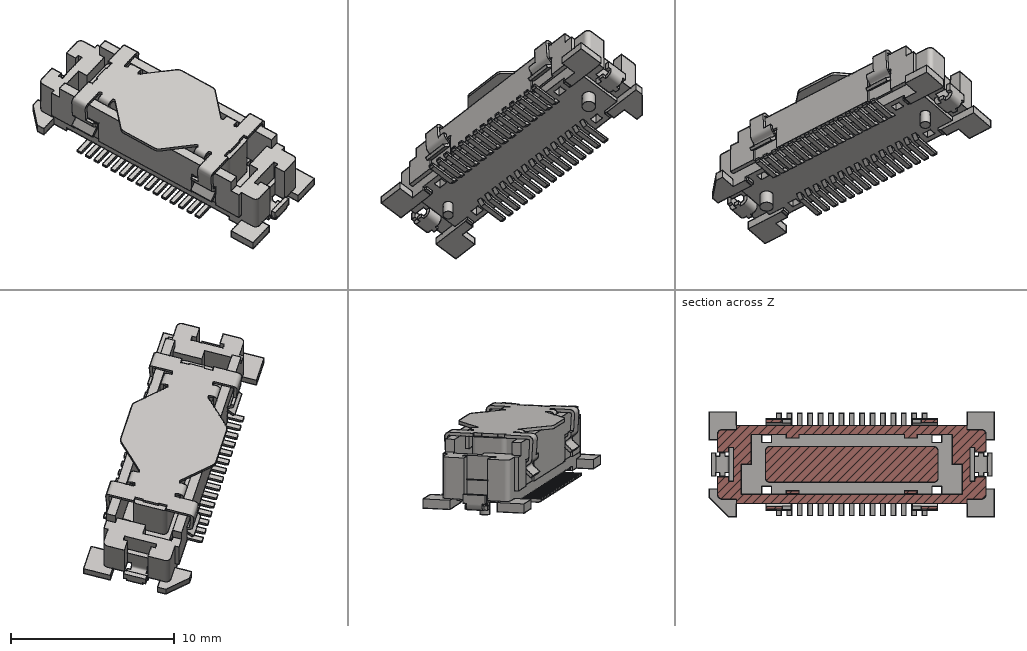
import math

import cadquery as cq

PAD_BOTTOM = 0.05
PAD_TOP = 0.63
BODY_BOTTOM = 0.32
SIDE_WALL_BOTTOM = 1.1
END_TOP = 3.2
HOUSING_TOP = 4.0
COVER_TOP = 4.2

END_HALF_X = 8.2
END_HALF_Y = 2.13
END_CORNER_RADIUS = 0.3
MIDDLE_HALF_X = 7.05
WALL_HALF_Y = 2.39
WALL_INNER_Y = 1.82
TALL_WALL_HALF_X = 6.47

CAVITY_SHORT_X = 6.12
CAVITY_LONG_X = 6.74
CAVITY_FLOOR = 1.1
TONGUE_HALF_X = 5.28
TONGUE_HALF_Y = 1.1
TONGUE_CORNER_RADIUS = 0.3
FLOOR_HOLE_X = (4.9, 5.48)
FLOOR_HOLE_Y = (1.34, 1.8)

POCKET_X = (3.5, 5.29)
POCKET_TOP = 2.74
POCKET_BACK_Y = 2.25

SLOT_HALF_Y = 0.75

PAD_OUTER_X = 8.7
PAD_OUTER_Y = 3.2
PAD_INNER_Y = 1.5
PAD_CHAMFER = 1.17
FOOT_INNER_X = 6.13
FOOT_STEP_X = 5.96
FOOT_STEP_BOTTOM = 0.1
FOOT_STEP_HALF_Y = 2.0
PEG_RADIUS = 0.41
SMALL_PEG_RADIUS = 0.31
PEG_X = 6.12
PEG_BOTTOM = -0.6

CLIP_THICKNESS = 0.27
CLIP_OUTER_X = 8.57
CLIP_INNER_X = 7.23
CLIP_BEND_RADIUS = 0.4
CLIP_OUTER_TOP = 1.0
CLIP_BLADE_TOP = 1.73
CLIP_BLADE_HALF_Y = 1.02
CLIP_WIDE_HALF_Y = 0.71
CLIP_NECK_HALF_Y = 0.5
CLIP_FLAT_X = (7.73, 8.06)
CLIP_NECK_TOP = 0.45

LEADS_PER_SIDE = 15
LEAD_PITCH = 0.635
LEAD_WIDTH = 0.3
LEAD_THICKNESS = 0.22
LEAD_TIP_Y = 3.13
LEAD_TIP_CHAMFER_HEIGHT = 0.07
LEAD_TIP_CHAMFER_LENGTH = 0.14
LEAD_BEND_Y = 1.32
LEAD_RISE = 0.4

SHEET = COVER_TOP - HOUSING_TOP
COVER_HALF_X = 5.24
COVER_NECK_HALF_Y = 1.28
OCTAGON_HALF_Y = 3.02
OCTAGON_CORNER_X = 1.34
OCTAGON_CORNER_RADIUS = 0.45
HOOK_INNER_X = 4.23
HOOK_FOOT_INNER_X = 3.7
HOOK_FOOT_TOP = 2.89
HOOK_OUTER_Y = 2.82
HOOK_KNEE = (2.72, 2.58)
HOOK_APEX = (2.27, 2.24)
HOOK_TIP = (2.81, 1.76)
HOOK_BEND_RADIUS = 0.3
HOOK_KNEE_RADIUS = 0.35
HOOK_APEX_RADIUS = 0.16
TAB_X = (3.22, 4.0)
TAB_OUTER_Y = 1.8
TAB_BOTTOM = 3.0
RELIEF_CORNER_RADIUS = 0.08
EDGE_MARGIN = 0.01
NOTCH_HALF_Y = 1.01
NOTCH_X = 4.97
NOTCH_STEP_HALF_Y = 0.5
NOTCH_STEP_X = 5.03


def box(x, y, z):
    """Axis-aligned box from (low, high) pairs."""
    sizes = [high - low for low, high in (x, y, z)]
    return cq.Workplane("XY").box(*sizes, centered=False).translate((x[0], y[0], z[0]))


def centred_box(half_x, half_y, z):
    return box((-half_x, half_x), (-half_y, half_y), z)


def both_ends(shape):
    """The shape and its mirror image in X."""
    return shape.union(shape.mirror("YZ"))


def both_sides(shape):
    """The shape and its mirror image in Y."""
    return shape.union(shape.mirror("XZ"))


def extrude_along_x(y_z_points, x):
    return cq.Workplane("YZ").polyline(y_z_points).close().extrude(x[1] - x[0]).translate((x[0], 0, 0))


def strip_outline(points, thickness):
    """Closed outline of a bent strip; the thickness lies to the right of the path."""
    headings = []
    for start, end in zip(points, points[1:]):
        headings.append(math.atan2(end[1] - start[1], end[0] - start[0]))
    inner = []
    for index, (u, v) in enumerate(points):
        before = headings[max(index - 1, 0)]
        after = headings[min(index, len(headings) - 1)]
        reach = thickness / math.cos((after - before) / 2)
        normal = (before + after) / 2 - math.pi / 2
        inner.append((u + reach * math.cos(normal), v + reach * math.sin(normal)))
    return points + inner[::-1]


def housing():
    ends = centred_box(END_HALF_X, END_HALF_Y, (PAD_TOP, END_TOP)).edges("|Z").fillet(END_CORNER_RADIUS)
    middle = centred_box(MIDDLE_HALF_X, END_HALF_Y, (BODY_BOTTOM, END_TOP))
    walls = centred_box(MIDDLE_HALF_X, WALL_HALF_Y, (SIDE_WALL_BOTTOM, END_TOP))
    tall_walls = centred_box(TALL_WALL_HALF_X, WALL_HALF_Y, (END_TOP, HOUSING_TOP))
    between_walls = centred_box(TALL_WALL_HALF_X, WALL_INNER_Y, (END_TOP, HOUSING_TOP))
    body = ends.union(middle).union(walls).union(tall_walls.cut(between_walls))

    cavity_depth = (CAVITY_FLOOR, END_TOP)
    front_cavity = box((-CAVITY_LONG_X, CAVITY_LONG_X), (-WALL_INNER_Y, 0), cavity_depth)
    back_cavity = box((-CAVITY_SHORT_X, CAVITY_SHORT_X), (0, WALL_INNER_Y), cavity_depth)
    tongue = centred_box(TONGUE_HALF_X, TONGUE_HALF_Y, (CAVITY_FLOOR, HOUSING_TOP))
    tongue = tongue.edges("|Z").fillet(TONGUE_CORNER_RADIUS)
    body = body.cut(front_cavity).cut(back_cavity).union(tongue)

    floor_hole = box(FLOOR_HOLE_X, FLOOR_HOLE_Y, (BODY_BOTTOM, CAVITY_FLOOR))
    pocket = box(POCKET_X, (POCKET_BACK_Y, WALL_HALF_Y), (SIDE_WALL_BOTTOM, POCKET_TOP))
    slot_mouth = box((CLIP_INNER_X, END_HALF_X), (-SLOT_HALF_Y, SLOT_HALF_Y), (BODY_BOTTOM, END_TOP))
    blade_slot = box(
        (CLIP_INNER_X, CLIP_INNER_X + CLIP_THICKNESS),
        (-CLIP_BLADE_HALF_Y, CLIP_BLADE_HALF_Y),
        (PAD_TOP, END_TOP),
    )
    openings = both_sides(floor_hole.union(pocket)).union(slot_mouth).union(blade_slot)
    return body.cut(both_ends(openings))


def pads_and_feet():
    pad_height = (PAD_BOTTOM, PAD_TOP)
    pad = box((MIDDLE_HALF_X, PAD_OUTER_X), (PAD_INNER_Y, PAD_OUTER_Y), pad_height)
    foot = box((FOOT_INNER_X, MIDDLE_HALF_X), (PAD_INNER_Y, END_HALF_Y), pad_height)
    step = box((FOOT_STEP_X, FOOT_INNER_X), (PAD_INNER_Y, FOOT_STEP_HALF_Y), (FOOT_STEP_BOTTOM, PAD_TOP))
    corners = both_ends(both_sides(pad.union(foot).union(step)))
    marked_corner = (
        cq.Workplane("XY")
        .polyline(
            [
                (-PAD_OUTER_X, -PAD_OUTER_Y),
                (-PAD_OUTER_X + PAD_CHAMFER, -PAD_OUTER_Y),
                (-PAD_OUTER_X, -PAD_OUTER_Y + PAD_CHAMFER),
            ]
        )
        .close()
        .extrude(PAD_TOP)
    )
    return corners.cut(marked_corner)


def pegs():
    pair = cq.Workplane("XY")
    for x, radius in ((-PEG_X, PEG_RADIUS), (PEG_X, SMALL_PEG_RADIUS)):
        peg = cq.Workplane("XY", origin=(x, 0, PEG_BOTTOM)).circle(radius)
        pair = pair.union(peg.extrude(PAD_TOP - PEG_BOTTOM))
    return pair


def clips():
    blade_outer_x = CLIP_INNER_X + CLIP_THICKNESS
    flange_inner_x = CLIP_OUTER_X - CLIP_THICKNESS
    blade = box(
        (CLIP_INNER_X, blade_outer_x), (-CLIP_BLADE_HALF_Y, CLIP_BLADE_HALF_Y), (PAD_TOP, CLIP_BLADE_TOP)
    )
    neck = box((CLIP_INNER_X, CLIP_OUTER_X), (-CLIP_NECK_HALF_Y, CLIP_NECK_HALF_Y), (0, PAD_TOP))
    neck = neck.edges("|Y and <Z").fillet(CLIP_BEND_RADIUS)
    gap = box(
        (blade_outer_x, flange_inner_x), (-CLIP_NECK_HALF_Y, CLIP_NECK_HALF_Y), (CLIP_THICKNESS, PAD_TOP)
    )
    gap = gap.edges("|Y and <Z").fillet(CLIP_BEND_RADIUS - CLIP_THICKNESS)
    wide_y = (-CLIP_WIDE_HALF_Y, CLIP_WIDE_HALF_Y)
    flat = box(CLIP_FLAT_X, wide_y, (0, CLIP_THICKNESS))
    flange = box((flange_inner_x, CLIP_OUTER_X), wide_y, (CLIP_NECK_TOP, CLIP_OUTER_TOP))
    return both_ends(neck.cut(gap).union(blade).union(flat).union(flange))


def leads():
    path = [
        (LEAD_BEND_Y - LEAD_RISE, LEAD_RISE),
        (LEAD_BEND_Y, 0),
        (LEAD_TIP_Y, 0),
    ]
    lead = extrude_along_x(strip_outline(path[::-1], LEAD_THICKNESS), (-LEAD_WIDTH / 2, LEAD_WIDTH / 2))
    tip_cut = [
        (LEAD_TIP_Y, 0),
        (LEAD_TIP_Y, LEAD_TIP_CHAMFER_HEIGHT),
        (LEAD_TIP_Y - LEAD_TIP_CHAMFER_LENGTH, 0),
    ]
    lead = lead.cut(extrude_along_x(tip_cut, (-LEAD_WIDTH / 2, LEAD_WIDTH / 2)))
    pair = both_sides(lead)
    row = cq.Workplane("XY")
    for index in range(LEADS_PER_SIDE):
        x = (index - (LEADS_PER_SIDE - 1) / 2) * LEAD_PITCH
        row = row.union(pair.translate((x, 0, 0)))
    return row


def octagon():
    """Wide centre of the cover, with sides at 45 degrees that run in to the neck."""
    waist_x = OCTAGON_CORNER_X + OCTAGON_HALF_Y
    outline = [
        (OCTAGON_CORNER_X, OCTAGON_HALF_Y),
        (waist_x, 0),
        (OCTAGON_CORNER_X, -OCTAGON_HALF_Y),
        (-OCTAGON_CORNER_X, -OCTAGON_HALF_Y),
        (-waist_x, 0),
        (-OCTAGON_CORNER_X, OCTAGON_HALF_Y),
    ]
    plate = cq.Workplane("XY", origin=(0, 0, HOUSING_TOP)).polyline(outline).close().extrude(SHEET)
    plate = plate.edges("|Z and (>Y or <Y)").fillet(OCTAGON_CORNER_RADIUS)
    return plate.intersect(centred_box(TAB_X[0], OCTAGON_HALF_Y, (HOUSING_TOP, COVER_TOP)))


def hook():
    """Cover arm bent down outside the housing and folded into its wall pocket."""
    path = [(0, COVER_TOP), (HOOK_OUTER_Y, COVER_TOP), HOOK_KNEE, HOOK_APEX, HOOK_TIP]
    outline = strip_outline(path, SHEET)
    foot_x = (HOOK_FOOT_INNER_X, COVER_HALF_X)
    arm = extrude_along_x(outline, foot_x)
    bends = [
        (outline[1], HOOK_BEND_RADIUS),
        (outline[2], HOOK_KNEE_RADIUS),
        (outline[3], HOOK_APEX_RADIUS),
        (outline[-2], HOOK_BEND_RADIUS - SHEET),
        (outline[-3], HOOK_KNEE_RADIUS - SHEET),
        (outline[-4], HOOK_APEX_RADIUS + SHEET),
    ]
    for (y, z), radius in bends:
        corner = cq.selectors.NearestToPointSelector((sum(foot_x) / 2, y, z))
        arm = arm.edges("|X").edges(corner).fillet(radius)
    above_foot = box((HOOK_FOOT_INNER_X, HOOK_INNER_X), (0, PAD_OUTER_Y), (HOOK_FOOT_TOP, COVER_TOP))
    return arm.cut(above_foot)


def inner_tab():
    """Cover tab bent down against the inner face of the side wall."""
    path = [(0, COVER_TOP), (TAB_OUTER_Y, COVER_TOP), (TAB_OUTER_Y, TAB_BOTTOM)]
    tab = extrude_along_x(strip_outline(path, SHEET), TAB_X)
    return tab.edges("|X and >Z and >Y").fillet(HOOK_BEND_RADIUS)


def cover():
    sheet_height = (HOUSING_TOP, COVER_TOP)
    neck = centred_box(COVER_HALF_X, COVER_NECK_HALF_Y, sheet_height)
    arms = both_ends(both_sides(hook().union(inner_tab())))
    notch = box((NOTCH_X, COVER_HALF_X), (-NOTCH_HALF_Y, NOTCH_HALF_Y), sheet_height)
    ledge = box((NOTCH_X, NOTCH_STEP_X), (-NOTCH_STEP_HALF_Y, NOTCH_STEP_HALF_Y), sheet_height)
    sheet = neck.union(octagon()).union(arms).cut(both_ends(notch.cut(ledge)))
    for side in (-1, 1):
        relief_y = side * COVER_NECK_HALF_Y
        corner_band = cq.selectors.BoxSelector(
            (-HOOK_INNER_X - EDGE_MARGIN, relief_y - EDGE_MARGIN, HOUSING_TOP),
            (HOOK_INNER_X + EDGE_MARGIN, relief_y + EDGE_MARGIN, COVER_TOP),
        )
        sheet = sheet.edges("|Z").edges(corner_band).fillet(RELIEF_CORNER_RADIUS)
    return sheet


result = housing().union(pads_and_feet()).union(pegs()).union(clips()).union(leads()).union(cover())